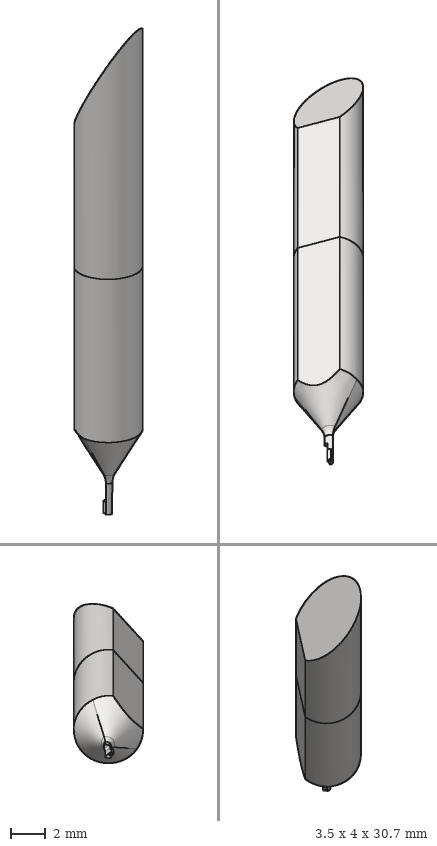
import cadquery as cq
import math

shank_radius = 2.0
flat_offset = 1.5
total_height = 30.72
joint_z = 15.55
end_cut_angle = 60.0

cone_top_z = 5.35
cone_half_angle = 30.0
neck_radius = 0.26
neck_blend_radius = 1.23
neck_bottom_z = 2.03

relief_shift = 0.2
relief_growth = 0.058

bit_bottom_z = 0.077
rake_top_z = 1.45
rake_blend_radius = 0.12
tooth_top_z = 0.85
tooth_reach = 0.2
tooth_back_z = 0.12
tooth_depth = 0.2

cone_slope = math.tan(math.radians(cone_half_angle))
end_cut_drop = (shank_radius + flat_offset) * math.tan(math.radians(end_cut_angle))


def flat_trim(offset):
    """Block that keeps everything on the +X side of a flat."""
    size = 2 * total_height
    return cq.Workplane("XY").box(size, size, size).translate((size / 2 - offset, 0, 0))


def make_upper_shank():
    """Flatted bar with a slanted upper end."""
    bar = (
        cq.Workplane("XY", origin=(0, 0, joint_z))
        .circle(shank_radius)
        .extrude(total_height - joint_z)
        .intersect(flat_trim(flat_offset))
    )
    slant_waste = (
        cq.Workplane("XZ")
        .moveTo(-flat_offset, total_height - end_cut_drop)
        .lineTo(shank_radius, total_height)
        .lineTo(-flat_offset, total_height)
        .close()
        .extrude(shank_radius, both=True)
    )
    return bar.cut(slant_waste)


def turned_nose(growth, bottom_z, shoulder_radius, top_z):
    """Revolved neck, concave blend and cone, grown radially, below a straight shoulder."""
    half_angle = math.radians(cone_half_angle)
    stem_radius = neck_radius + growth
    corner_z = cone_top_z - (shank_radius - neck_radius) / cone_slope
    shoulder_z = corner_z + (shoulder_radius - stem_radius) / cone_slope
    blend_bottom_z = corner_z - neck_blend_radius * math.tan(half_angle / 2)
    blend_center_r = stem_radius + neck_blend_radius

    def blend_point(angle):
        return (
            blend_center_r - neck_blend_radius * math.cos(angle),
            blend_bottom_z + neck_blend_radius * math.sin(angle),
        )

    return (
        cq.Workplane("XZ")
        .moveTo(0, bottom_z)
        .lineTo(stem_radius, bottom_z)
        .lineTo(stem_radius, blend_bottom_z)
        .threePointArc(blend_point(half_angle / 2), blend_point(half_angle))
        .lineTo(shoulder_radius, shoulder_z)
        .lineTo(shoulder_radius, top_z)
        .lineTo(0, top_z)
        .close()
        .revolve(360, (0, 0, 0), (0, 1, 0))
    )


def relief_envelope():
    """Off-axis nose shape, slightly larger, that thins the -X side of the nose and bit."""
    envelope = turned_nose(relief_growth, 0, 2 * shank_radius, total_height)
    return envelope.translate((relief_shift, 0, 0))


def make_lower_shank():
    """Flatted bar that tapers into the neck, relieved on the -X side of the nose."""
    return (
        turned_nose(0, neck_bottom_z, shank_radius, joint_z)
        .intersect(flat_trim(flat_offset))
        .intersect(relief_envelope())
    )


def make_tooth():
    """Cutting tooth on the -X side, relieved below and behind its corner."""
    tooth = (
        cq.Workplane("YZ", origin=(-tooth_reach, 0, 0))
        .moveTo(0, 0)
        .lineTo(0, tooth_top_z)
        .lineTo(-tooth_depth, tooth_top_z)
        .lineTo(-tooth_depth, tooth_back_z)
        .close()
        .extrude(tooth_reach)
    )
    end_relief = (
        cq.Workplane("XZ")
        .moveTo(-tooth_reach, 0)
        .lineTo(0, bit_bottom_z)
        .lineTo(0, 0)
        .close()
        .extrude(tooth_depth)
    )
    return tooth.cut(end_relief)


def make_cutting_bit():
    """Round bit with a relieved side, half cut away, carrying the tooth."""
    bit = (
        cq.Workplane("XY", origin=(0, 0, bit_bottom_z))
        .circle(neck_radius)
        .extrude(neck_bottom_z - bit_bottom_z)
        .intersect(relief_envelope())
    )
    rake_waste = (
        cq.Workplane("YZ")
        .rect(2 * neck_radius, 2 * rake_top_z)
        .extrude(neck_radius, both=True)
        .translate((0, neck_radius, 0))
        .edges("|X and <Y and >Z")
        .fillet(rake_blend_radius)
    )
    return bit.cut(rake_waste).union(make_tooth())


upper_shank = make_upper_shank()
lower_shank = make_lower_shank()
cutting_bit = make_cutting_bit()

result = cq.Compound.makeCompound([upper_shank.val(), lower_shank.val(), cutting_bit.val()])